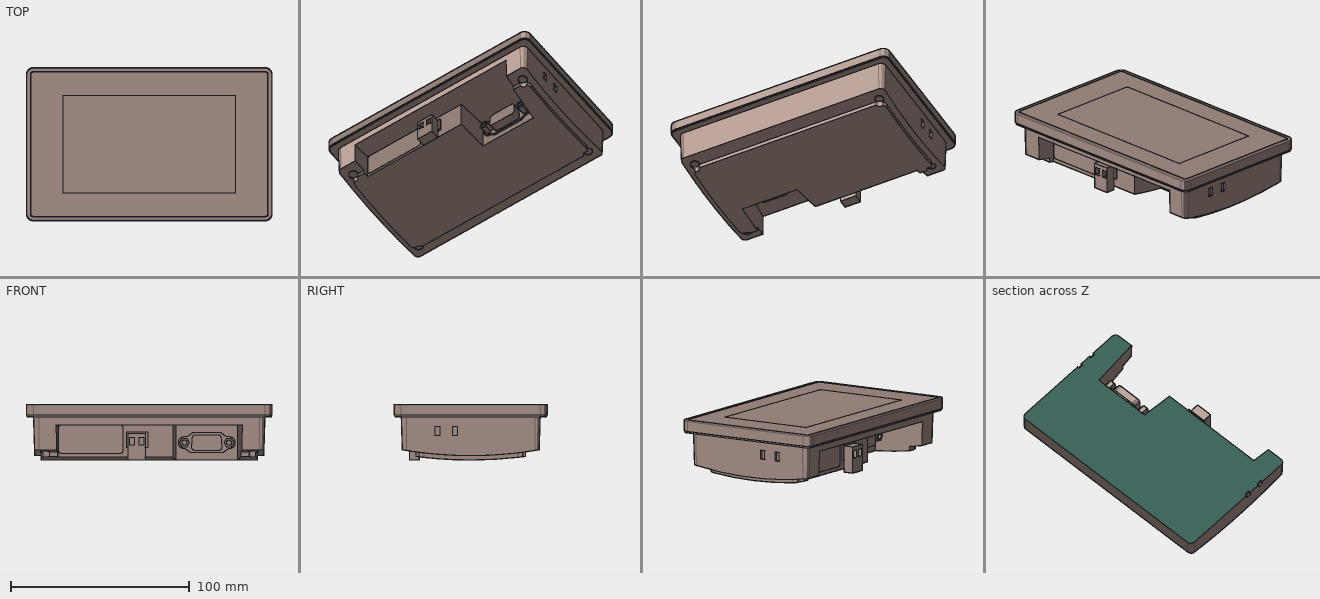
import cadquery as cq
import math


BEZEL_LENGTH = 137.7
BEZEL_WIDTH = 85.9
BEZEL_HEIGHT = 6.15
BEZEL_CORNER = 4.0
BEZEL_TOP_ROUND = 0.45

RECESS_INSET = 2.3
RECESS_CORNER = 1.5
OVERLAY_GAP = 0.3
OVERLAY_THICKNESS = 1.0
SCREEN_LENGTH = 96.6
SCREEN_WIDTH = 54.6

FLANGE_INSET = 0.4
FLANGE_HEIGHT = 0.9
HOUSING_INSET = 4.0
HOUSING_CORNER = 3.1
HOUSING_DRAFT = 1.75
BACK_RADIUS = 226.0
HOUSING_BACK_Z = -28.8

TOTAL_DEPTH = 31.3
PLATEAU_LENGTH = 121.0
PLATEAU_WIDTH = 61.4
PLATEAU_CORNER = 4.5
SCREW_RECESS_RADIUS = 2.6
SCREW_RECESS_X = 58.3
SCREW_RECESS_Y = 31.4
SCREW_RECESS_FLOOR_Z = -25.8

BAY_HALF_LENGTH = 52.1
BAY_TOP_Z = -11.7
BAY_SIDE_ANGLE = 5.0
POWER_WALL_Y = -27.8
SERIAL_WALL_Y = -9.0
STEP_X = 13.3
LABEL_START_X = -50.9
LABEL_END_X = -14.7
LABEL_BOTTOM_Z = -27.5
LABEL_CORNER = 1.5
LABEL_DEPTH = 0.1

CLIP_SLOT_YS = (-8.9, -18.7)
CLIP_SLOT_WIDTH = 2.7
CLIP_SLOT_HEIGHT = 5.0
CLIP_SLOT_Z = -15.05
CLIP_SLOT_DEPTH = 1.5

SOCKET_X = -6.75
SOCKET_LENGTH = 12.1
SOCKET_DEPTH = 0.9
SOCKET_TOP_Z = -15.4
SOCKET_BOTTOM_Z = -24.3
PLUG_X = -7.0
PLUG_LENGTH = 9.8
PLUG_DEPTH = 5.7
PLUG_TOP_Z = -16.3
PLUG_POLE_PITCH = 5.3
PLUG_OPENING_LENGTH = 2.8
PLUG_OPENING_HEIGHT = 4.2
PLUG_OPENING_Z = -20.8
PLUG_OPENING_DEPTH = 3.0

SERIAL_X = 32.2
SERIAL_Z = -21.5
SERIAL_FLANGE_THICKNESS = 1.0
SERIAL_FLANGE_HALF_HEIGHT = 5.6
SERIAL_FLANGE_TOP_HALF = 7.9
SERIAL_FLANGE_BOTTOM_HALF = 9.1
SERIAL_FLANGE_SLOPE_RUN = 3.0
SERIAL_LUG_DIAMETER = 6.8
SERIAL_SHELL_HALF_HEIGHT = 4.4
SERIAL_SHELL_TOP_HALF = 8.0
SERIAL_SHELL_BOTTOM_HALF = 8.7
SERIAL_SHELL_CORNER = 2.0
SERIAL_SHELL_DEPTH = 5.0
SERIAL_NUT_PITCH = 25.0
SERIAL_NUT_FLATS = 4.7
SERIAL_NUT_HOLE = 2.8

FLANGE_BOTTOM_Z = -BEZEL_HEIGHT - FLANGE_HEIGHT
HOUSING_LENGTH = BEZEL_LENGTH - 2 * HOUSING_INSET
HOUSING_WIDTH = BEZEL_WIDTH - 2 * HOUSING_INSET
SOCKET_FRONT_Y = POWER_WALL_Y - SOCKET_DEPTH
PLUG_FRONT_Y = SOCKET_FRONT_Y - PLUG_DEPTH
SERIAL_FLANGE_FRONT_Y = SERIAL_WALL_Y - SERIAL_FLANGE_THICKNESS


def rounded_plate(length, width, height, corner, top_z):
    """Plate centred on the Z axis with rounded vertical edges, hanging down from top_z."""
    plate = cq.Workplane("XY", origin=(0, 0, top_z - height)).rect(length, width).extrude(height)
    return plate.edges("|Z").fillet(corner)


def block(x_range, y_range, z_range):
    """Box given by its limits along each axis."""
    (x0, x1), (y0, y1), (z0, z1) = x_range, y_range, z_range
    return cq.Workplane("XY").box(x1 - x0, y1 - y0, z1 - z0, centered=False).translate((x0, y0, z0))


def front_plane(x, y, z):
    """Workplane facing -Y, with its local axes along +X and +Z."""
    return cq.Workplane("XZ", origin=(x, y, z))


def make_bezel():
    bezel = rounded_plate(BEZEL_LENGTH, BEZEL_WIDTH, BEZEL_HEIGHT, BEZEL_CORNER, 0)
    bezel = bezel.faces(">Z").edges().fillet(BEZEL_TOP_ROUND)
    recess = rounded_plate(
        BEZEL_LENGTH - 2 * RECESS_INSET,
        BEZEL_WIDTH - 2 * RECESS_INSET,
        OVERLAY_THICKNESS,
        RECESS_CORNER,
        0,
    )
    return bezel.cut(recess)


def make_screen():
    return cq.Workplane("XY").rect(SCREEN_LENGTH, SCREEN_WIDTH).extrude(-OVERLAY_THICKNESS)


def make_overlay(screen):
    """Front sheet with a window that the screen fills."""
    inset = RECESS_INSET + OVERLAY_GAP
    overlay = rounded_plate(
        BEZEL_LENGTH - 2 * inset,
        BEZEL_WIDTH - 2 * inset,
        OVERLAY_THICKNESS,
        RECESS_CORNER - OVERLAY_GAP,
        0,
    )
    return overlay.cut(screen)


def arched_limit(lowest_z, radius):
    """Cylinder along X whose underside gives a back face its arch."""
    return cq.Workplane("YZ").center(0, lowest_z + radius).circle(radius).extrude(BEZEL_LENGTH / 2, both=True)


def housing_shell():
    """Flange, drafted body and plateau, both backs arched about one axis."""
    flange = rounded_plate(
        BEZEL_LENGTH - 2 * FLANGE_INSET,
        BEZEL_WIDTH - 2 * FLANGE_INSET,
        FLANGE_HEIGHT,
        BEZEL_CORNER - FLANGE_INSET,
        -BEZEL_HEIGHT,
    )
    depth_below_flange = TOTAL_DEPTH + FLANGE_BOTTOM_Z
    outline = cq.Sketch().rect(HOUSING_LENGTH, HOUSING_WIDTH).vertices().fillet(HOUSING_CORNER)
    body = (
        cq.Workplane("XY", origin=(0, 0, FLANGE_BOTTOM_Z))
        .placeSketch(outline)
        .extrude(-depth_below_flange, taper=HOUSING_DRAFT)
    )
    body = body.intersect(arched_limit(HOUSING_BACK_Z, BACK_RADIUS))
    plateau = rounded_plate(
        PLATEAU_LENGTH,
        PLATEAU_WIDTH,
        depth_below_flange,
        PLATEAU_CORNER,
        FLANGE_BOTTOM_Z,
    )
    plateau_rise = HOUSING_BACK_Z + TOTAL_DEPTH
    plateau = plateau.intersect(arched_limit(-TOTAL_DEPTH, BACK_RADIUS + plateau_rise))
    return flange.union(body).union(plateau)


def screw_recesses():
    """Four round recesses that clip the corners of the plateau."""
    return (
        cq.Workplane("XY", origin=(0, 0, -TOTAL_DEPTH))
        .rect(2 * SCREW_RECESS_X, 2 * SCREW_RECESS_Y, forConstruction=True)
        .vertices()
        .circle(SCREW_RECESS_RADIUS)
        .extrude(TOTAL_DEPTH + SCREW_RECESS_FLOOR_Z)
    )


def connector_bay():
    """Stepped bay open to -Y and -Z; its side faces lean inwards with depth."""
    slope = math.tan(math.radians(BAY_SIDE_ANGLE))
    mouth_y = -HOUSING_WIDTH / 2

    def lean(y):
        return (y - mouth_y) * slope

    outer_y = -BEZEL_WIDTH / 2
    step_back_x = STEP_X + (SERIAL_WALL_Y - POWER_WALL_Y) * slope
    return (
        cq.Workplane("XY", origin=(0, 0, BAY_TOP_Z))
        .moveTo(-BAY_HALF_LENGTH + lean(outer_y), outer_y)
        .lineTo(-BAY_HALF_LENGTH + lean(POWER_WALL_Y), POWER_WALL_Y)
        .lineTo(STEP_X, POWER_WALL_Y)
        .lineTo(step_back_x, SERIAL_WALL_Y)
        .lineTo(BAY_HALF_LENGTH - lean(SERIAL_WALL_Y), SERIAL_WALL_Y)
        .lineTo(BAY_HALF_LENGTH - lean(outer_y), outer_y)
        .close()
        .extrude(-(TOTAL_DEPTH + BAY_TOP_Z))
    )


def label_recess():
    """Shallow label field on the power wall, directly under the top of the bay."""
    field = block(
        (LABEL_START_X, LABEL_END_X),
        (POWER_WALL_Y, POWER_WALL_Y + LABEL_DEPTH),
        (LABEL_BOTTOM_Z, BAY_TOP_Z),
    )
    return field.edges("|Y").fillet(LABEL_CORNER)


def clip_slots():
    """Two blind slots in each end wall."""
    slots = cq.Workplane("XY")
    for side in (-1, 1):
        for y in CLIP_SLOT_YS:
            slot = cq.Workplane("XY").box(2 * CLIP_SLOT_DEPTH, CLIP_SLOT_WIDTH, CLIP_SLOT_HEIGHT)
            slots = slots.add(slot.translate((side * HOUSING_LENGTH / 2, y, CLIP_SLOT_Z)))
    return slots.combine()


def make_housing():
    housing = housing_shell()
    for cutter in (screw_recesses(), connector_bay(), label_recess(), clip_slots()):
        housing = housing.cut(cutter)
    return housing


def make_power_socket():
    half = SOCKET_LENGTH / 2
    return block(
        (SOCKET_X - half, SOCKET_X + half),
        (SOCKET_FRONT_Y, POWER_WALL_Y),
        (SOCKET_BOTTOM_Z, SOCKET_TOP_Z),
    )


def make_power_plug():
    """Two-pole plug in front of the socket, with a blind opening for each pole."""
    half = PLUG_LENGTH / 2
    plug = block(
        (PLUG_X - half, PLUG_X + half),
        (PLUG_FRONT_Y, SOCKET_FRONT_Y),
        (-TOTAL_DEPTH, PLUG_TOP_Z),
    )
    openings = (
        front_plane(PLUG_X, PLUG_FRONT_Y, PLUG_OPENING_Z)
        .rarray(PLUG_POLE_PITCH, 1, 2, 1)
        .rect(PLUG_OPENING_LENGTH, PLUG_OPENING_HEIGHT)
        .extrude(-PLUG_OPENING_DEPTH)
    )
    return plug.cut(openings)


def make_serial_connector():
    """Nine-pole connector: lugged flange, D-shaped shell and two hexagonal screw posts."""
    wall = front_plane(SERIAL_X, SERIAL_WALL_Y, SERIAL_Z)
    flange_front = front_plane(SERIAL_X, SERIAL_FLANGE_FRONT_Y, SERIAL_Z)

    lugs = wall.slot2D(SERIAL_NUT_PITCH + SERIAL_LUG_DIAMETER, SERIAL_LUG_DIAMETER)
    lugs = lugs.extrude(SERIAL_FLANGE_THICKNESS)
    top_half = SERIAL_FLANGE_TOP_HALF
    bottom_half = SERIAL_FLANGE_BOTTOM_HALF
    lug_half = SERIAL_LUG_DIAMETER / 2
    centre_outline = [
        (-top_half, SERIAL_FLANGE_HALF_HEIGHT),
        (top_half, SERIAL_FLANGE_HALF_HEIGHT),
        (top_half + SERIAL_FLANGE_SLOPE_RUN, lug_half),
        (bottom_half + SERIAL_FLANGE_SLOPE_RUN, -lug_half),
        (bottom_half, -SERIAL_FLANGE_HALF_HEIGHT),
        (-bottom_half, -SERIAL_FLANGE_HALF_HEIGHT),
        (-bottom_half - SERIAL_FLANGE_SLOPE_RUN, -lug_half),
        (-top_half - SERIAL_FLANGE_SLOPE_RUN, lug_half),
    ]
    centre = wall.polyline(centre_outline).close().extrude(SERIAL_FLANGE_THICKNESS)

    shell_outline = [
        (-SERIAL_SHELL_TOP_HALF, SERIAL_SHELL_HALF_HEIGHT),
        (SERIAL_SHELL_TOP_HALF, SERIAL_SHELL_HALF_HEIGHT),
        (SERIAL_SHELL_BOTTOM_HALF, -SERIAL_SHELL_HALF_HEIGHT),
        (-SERIAL_SHELL_BOTTOM_HALF, -SERIAL_SHELL_HALF_HEIGHT),
    ]
    shell = flange_front.polyline(shell_outline).close().extrude(SERIAL_SHELL_DEPTH)
    shell = shell.edges("|Y").fillet(SERIAL_SHELL_CORNER)

    nut_corner_diameter = SERIAL_NUT_FLATS / math.cos(math.pi / 6)
    nuts = flange_front.rarray(SERIAL_NUT_PITCH, 1, 2, 1).polygon(6, nut_corner_diameter)
    nuts = nuts.extrude(SERIAL_SHELL_DEPTH)
    nut_holes = flange_front.rarray(SERIAL_NUT_PITCH, 1, 2, 1).circle(SERIAL_NUT_HOLE / 2)
    nut_holes = nut_holes.extrude(SERIAL_SHELL_DEPTH)
    return lugs.union(centre).union(shell).union(nuts).cut(nut_holes)


bezel = make_bezel()
screen = make_screen()
overlay = make_overlay(screen)
housing = make_housing()
power_socket = make_power_socket()
power_plug = make_power_plug()
serial_connector = make_serial_connector()

result = cq.Compound.makeCompound([
    bezel.val(),
    screen.val(),
    overlay.val(),
    housing.val(),
    power_socket.val(),
    power_plug.val(),
    serial_connector.val(),
])